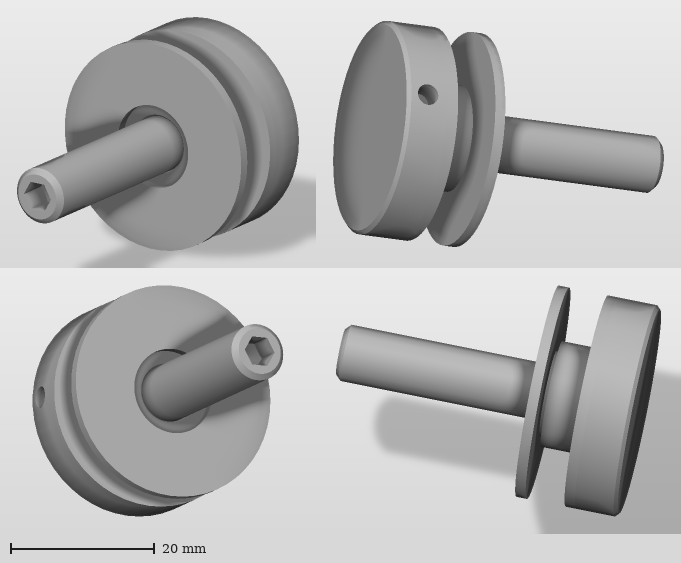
import cadquery as cq
import math

total_length = 42.5

disc_diameter = 30.0
cap_thickness = 6.0
cap_chamfer = 0.5
hub_diameter = 15.0
neck_diameter = 12.0
neck_length = 0.5
side_hole_diameter = 3.0
side_hole_depth = 4.0
mouth_chamfer = 0.2

gasket_thickness = 1.5
hub_projection = 5.0
washer_thickness = 1.5

screw_diameter = 8.0
tip_chamfer = 0.75
socket_across_flats = 4.0
socket_depth = 4.0
socket_point_diameter = 5.1
socket_point_angle = 120.0

gasket_front = cap_thickness + gasket_thickness
hub_front = gasket_front + hub_projection
neck_front = hub_front + neck_length
screw_back = cap_thickness


def cylinder(diameter, start, end):
    """Cylinder on the common axis between two distances from the back of the head."""
    plane = cq.Workplane("XZ", origin=(0, -start, 0))
    return plane.circle(diameter / 2).extrude(end - start)


def make_head():
    cap = cylinder(disc_diameter, 0, cap_thickness).faces(">Y").chamfer(cap_chamfer)
    hub = cylinder(hub_diameter, cap_thickness, hub_front)
    neck = cylinder(neck_diameter, hub_front, neck_front)
    screw_hole = cylinder(screw_diameter, screw_back, neck_front)
    head = cap.union(hub).union(neck).cut(screw_hole)
    mouth = head.faces("<Y").edges("%CIRCLE").edges(cq.selectors.RadiusNthSelector(0))
    head = mouth.chamfer(mouth_chamfer)

    side_hole = (
        cq.Workplane("YZ", origin=(-disc_diameter / 2, -cap_thickness / 2, 0))
        .circle(side_hole_diameter / 2)
        .extrude(side_hole_depth)
    )
    return head.cut(side_hole)


def make_gasket():
    ring = cylinder(disc_diameter, cap_thickness, gasket_front)
    return ring.cut(cylinder(hub_diameter, cap_thickness, gasket_front))


def make_washer():
    """Flat washer whose back face is level with the end of the neck."""
    washer_front = neck_front + washer_thickness
    ring = cylinder(disc_diameter, neck_front, washer_front)
    return ring.cut(cylinder(neck_diameter, neck_front, washer_front))


def make_socket():
    """Hexagonal socket whose bottom is a drill-point cone."""
    across_corners = socket_across_flats / math.cos(math.radians(30))
    point_radius = socket_point_diameter / 2
    cone_height = point_radius / math.tan(math.radians(socket_point_angle / 2))
    socket_bottom = total_length - socket_depth
    cone_tip = socket_bottom - cone_height
    hexagon = (
        cq.Workplane("XZ", origin=(0, -cone_tip, 0))
        .polygon(6, across_corners)
        .extrude(total_length - cone_tip)
    )
    drill = (
        cq.Workplane("XY")
        .moveTo(0, -cone_tip)
        .lineTo(point_radius, -socket_bottom)
        .lineTo(point_radius, -total_length)
        .lineTo(0, -total_length)
        .close()
        .revolve(360, (0, 0, 0), (0, 1, 0))
    )
    return hexagon.intersect(drill)


def make_screw():
    shank = cylinder(screw_diameter, screw_back, total_length)
    return shank.faces("<Y").chamfer(tip_chamfer).cut(make_socket())


head = make_head()
gasket = make_gasket()
washer = make_washer()
screw = make_screw()

result = cq.Compound.makeCompound([head.val(), gasket.val(), washer.val(), screw.val()])